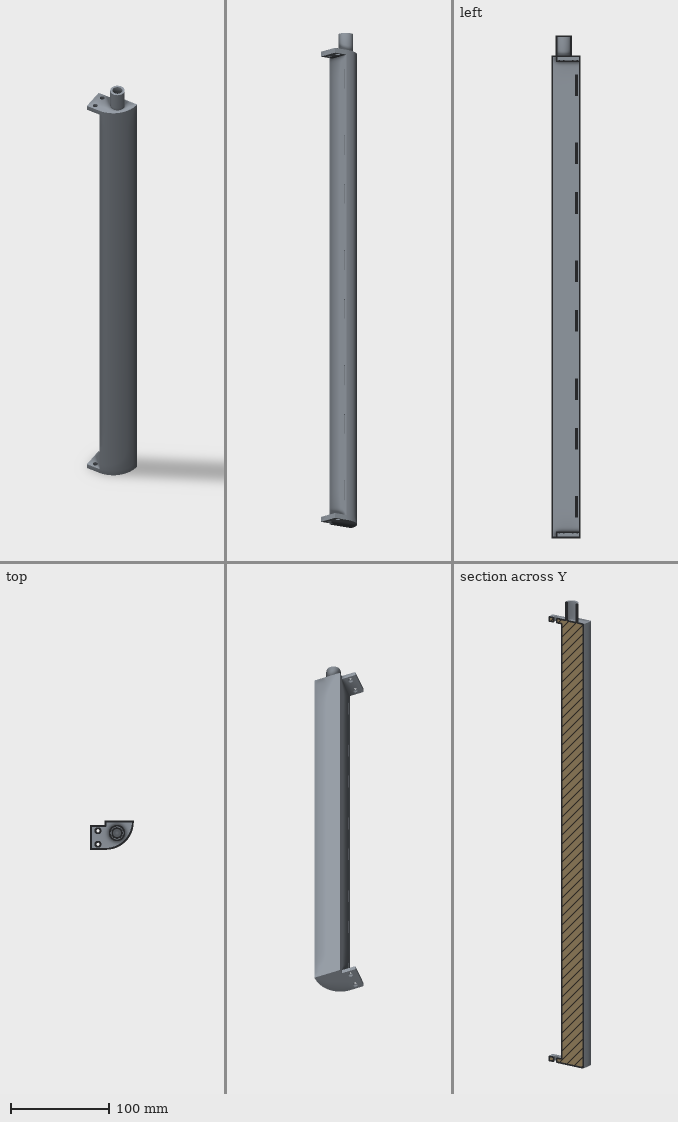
import cadquery as cq
import math

total_height = 510.0
body_radius = 28.0
tube_length = 20.5
body_height = total_height - tube_length

tab_length = 15.0
tab_thickness = 5.0
tab_back_inset = 4.5
tab_width = body_radius - tab_back_inset
tab_hole_diameter = 5.0
tab_hole_to_body = 7.5
tab_hole_spacing = 14.0

tube_diameter = 15.0
bore_diameter = 10.0
tube_x = 11.5
tube_y = -11.5

slot_length = 20.5
slot_width = 1.5
slot_depth = 2.5
slot_to_front = 3.5
first_slot_z = 31.0
pair_spacing = 69.5
pair_pitch = 120.0
pair_count = 4


def make_body():
    """Quarter-round bar; X = 0 is its left face and Y = 0 its back face."""
    diagonal = body_radius * math.sqrt(0.5)
    return (
        cq.Workplane("XY")
        .lineTo(body_radius, 0)
        .threePointArc((diagonal, -diagonal), (0, -body_radius))
        .close()
        .extrude(body_height)
    )


def make_tab(bottom_z):
    """Flat tab on the left face with two through holes."""
    middle_y = -tab_back_inset - tab_width / 2
    tab = cq.Workplane("XY").box(
        tab_length, tab_width, tab_thickness, centered=(True, True, False)
    ).translate((-tab_length / 2, middle_y, bottom_z))
    half_spacing = tab_hole_spacing / 2
    holes = (
        cq.Workplane("XY", origin=(-tab_hole_to_body, middle_y, bottom_z))
        .pushPoints([(0, -half_spacing), (0, half_spacing)])
        .circle(tab_hole_diameter / 2)
        .extrude(tab_thickness)
    )
    return tab.cut(holes)


def make_tube():
    return (
        cq.Workplane("XY", origin=(tube_x, tube_y, body_height))
        .circle(tube_diameter / 2)
        .circle(bore_diameter / 2)
        .extrude(tube_length)
    )


def make_slot(center_z):
    return cq.Workplane("XY").box(slot_depth, slot_width, slot_length).translate(
        (slot_depth / 2, slot_to_front - body_radius, center_z)
    )


result = make_body().union(make_tube())

for tab_z in (0, body_height - tab_thickness):
    result = result.union(make_tab(tab_z))

for pair in range(pair_count):
    lower_z = first_slot_z + pair * pair_pitch
    for slot_z in (lower_z, lower_z + pair_spacing):
        result = result.cut(make_slot(slot_z))